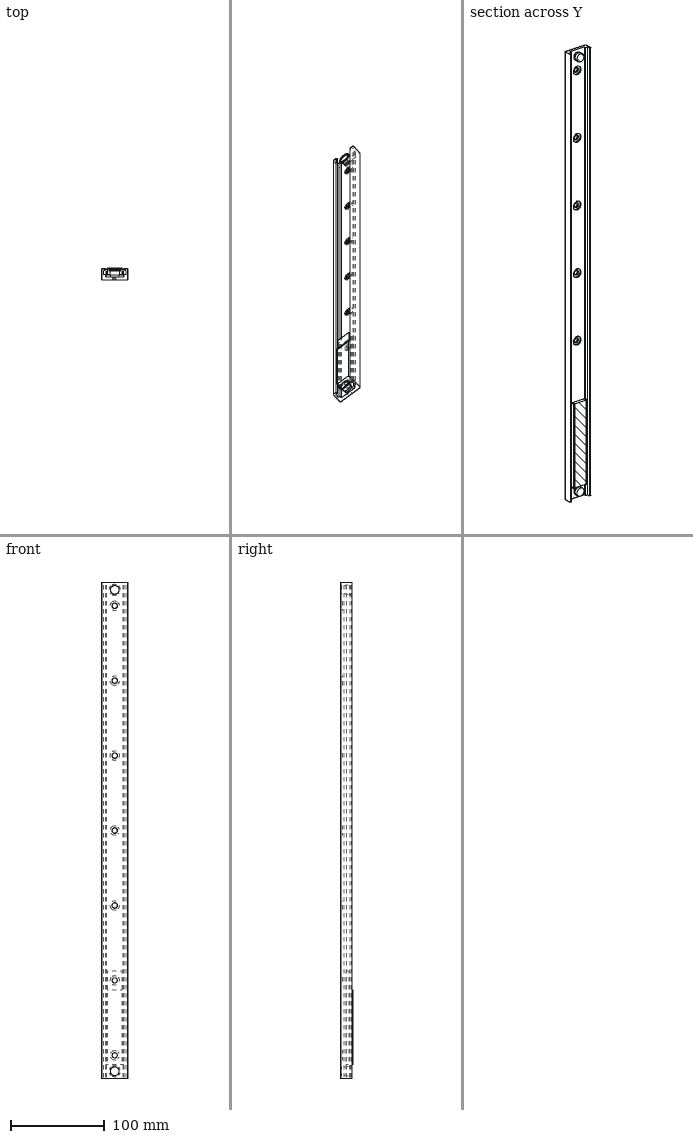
import cadquery as cq

rail_width = 28.0
rail_depth = 12.25
rail_length = 530.0
rail_edge_round = 1.0
wall = 2.0
floor_thickness = 3.5
channel_width = 19.0
shoulder_height = 6.0
lip_opening = 19.6
race_opening = 17.2
race_height = 11.3
race_root_height = 9.9

hole_diameter = 5.5
counterbore_diameter = 10.0
counterbore_floor = 2.0
hole_pitch = 80.0
hole_end_distance = 25.0
hole_count = 7

stop_end_distance = 8.0
stop_tip_diameter = 9.2
stop_shank_diameter = 10.0
stop_head_diameter = 12.0
stop_tip_recess = 1.0
stop_shoulder = 5.6
stop_head_bottom = 9.6
stop_top = 10.8
stop_positions = [stop_end_distance, rail_length - stop_end_distance]

carriage_bottom = 15.0
carriage_width = 15.6
core_length = 100.0
core_back = 5.6
core_front = 12.0
pad_length = 80.0
pad_front = 12.9
liner_thickness = 1.4
liner_front = 9.0


def round_bar(diameter, y_start, y_end, z):
    """Cylinder along Y, centred on the rail at height z."""
    plane = cq.Workplane("XZ", origin=(0, y_end, z))
    return plane.circle(diameter / 2).extrude(y_end - y_start)


def square_bar(width, y_start, y_end, z_start, length):
    """Rectangular bar along Z, centred across the rail."""
    plane = cq.Workplane("XY", origin=(0, (y_start + y_end) / 2, z_start))
    return plane.rect(width, y_end - y_start).extrude(length)


def make_cavity():
    """Inside of the rail: floor channel, side pockets and the two pointed races."""
    inner_half = rail_width / 2 - wall
    right_side = [
        (channel_width / 2, floor_thickness),
        (channel_width / 2, shoulder_height),
        (inner_half, shoulder_height),
        (inner_half, race_root_height),
        (race_opening / 2, race_height),
        (lip_opening / 2, rail_depth),
    ]
    left_side = [(-x, y) for x, y in reversed(right_side)]
    return cq.Workplane("XY").polyline(right_side + left_side).close().extrude(rail_length)


def make_rail():
    """Rail with its mounting holes and the holes for the end stops."""
    blank = square_bar(rail_width, 0, rail_depth, 0, rail_length)
    rail = blank.edges("|Z").fillet(rail_edge_round).cut(make_cavity())
    for i in range(hole_count):
        hole_z = hole_end_distance + i * hole_pitch
        rail = rail.cut(round_bar(hole_diameter, 0, floor_thickness, hole_z))
        rail = rail.cut(round_bar(counterbore_diameter, counterbore_floor, floor_thickness, hole_z))
    for stop_z in stop_positions:
        rail = rail.cut(round_bar(stop_tip_diameter, 0, floor_thickness, stop_z))
    return rail


def make_stop(z):
    """Pin growing wider in two steps toward +Y."""
    tip = round_bar(stop_tip_diameter, stop_tip_recess, stop_shoulder, z)
    shank = round_bar(stop_shank_diameter, stop_shoulder, stop_head_bottom, z)
    head = round_bar(stop_head_diameter, stop_head_bottom, stop_top, z)
    return tip.union(shank).union(head)


def make_carriage():
    """Core bar with the pad standing on its open side."""
    core = square_bar(carriage_width, core_back, core_front, carriage_bottom, core_length)
    pad = square_bar(carriage_width, core_front, pad_front, carriage_bottom, pad_length)
    return core.union(pad)


def make_liner(side):
    """Strip against the flank of the carriage core; side is -1 or 1."""
    liner = square_bar(liner_thickness, core_back, liner_front, carriage_bottom, core_length)
    return liner.translate((side * (carriage_width + liner_thickness) / 2, 0, 0))


rail = make_rail()
stops = [make_stop(z) for z in stop_positions]
carriage = make_carriage()
liners = [make_liner(side) for side in (-1, 1)]

result = cq.Compound.makeCompound(
    [
        rail.val(),
        carriage.val(),
        *[stop.val() for stop in stops],
        *[liner.val() for liner in liners],
    ]
)